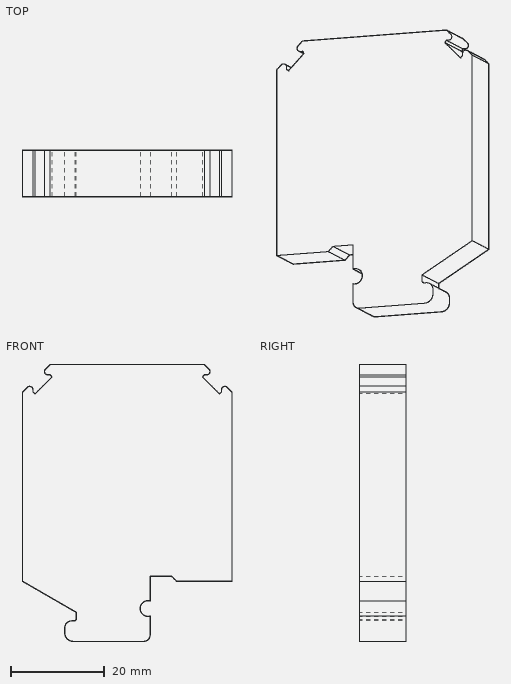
import cadquery as cq
import math

width = 44.7
thickness = 10.0
height = 59.1
half_width = width / 2

corner_chamfer = 5.9
hook_depth = 2.25
hook_radius = 0.7
notch_floor_offset = 9.0
notch_end_depth = 2.7
hook_root = 5.9

body_bottom = 12.8
step_top = 13.9
step_end_x = 10.5
left_slope_angle = math.radians(30)

foot_left = -13.35
foot_right = 4.9
foot_top = 4.45
neck_left = -10.9
neck_chamfer = 0.3
foot_upper_radius = 1.55
foot_lower_left_radius = 1.9
foot_lower_right_radius = 1.4

rail_notch_x = 4.45
rail_notch_z = 7.05
rail_notch_radius = 1.65


def extrude_profile(profile):
    """Extrude an XZ profile over the thickness, centred on Y = 0."""
    return profile.extrude(thickness / 2, both=True)


def make_body():
    step_rise = step_top - body_bottom
    slope_drop = (half_width + neck_left) * math.tan(left_slope_angle)
    outline = [
        (-half_width, height),
        (half_width, height),
        (half_width, body_bottom),
        (step_end_x, body_bottom),
        (step_end_x - step_rise, step_top),
        (foot_right, step_top),
        (foot_right, 0),
        (foot_left, 0),
        (foot_left, foot_top),
        (neck_left - neck_chamfer, foot_top),
        (neck_left, foot_top + neck_chamfer),
        (neck_left, body_bottom - slope_drop),
        (-half_width, body_bottom),
    ]
    return extrude_profile(cq.Workplane("XZ").polyline(outline).close())


def round_foot(body):
    rounded_corners = [
        (foot_left, foot_top, foot_upper_radius),
        (foot_left, 0, foot_lower_left_radius),
        (foot_right, 0, foot_lower_right_radius),
    ]
    for x, z, radius in rounded_corners:
        corner = cq.selectors.NearestToPointSelector((x, 0, z))
        body = body.edges("|Y").edges(corner).fillet(radius)
    return body


def make_corner_cut(side):
    """Material outside an upper corner; side is -1 for left and 1 for right."""

    def place(across, down):
        """Point at the given distances from the sharp upper corner."""
        return (side * (half_width - across), height - down)

    diagonal = hook_radius / math.sqrt(2)
    tip_down = hook_depth - hook_radius
    tip_across = corner_chamfer - tip_down + hook_radius * math.sqrt(2)
    mid_angle = math.radians(22.5)
    upper_tip_start = (tip_across - diagonal, tip_down - diagonal)
    upper_tip_middle = (
        tip_across - hook_radius * math.cos(mid_angle),
        tip_down + hook_radius * math.sin(mid_angle),
    )
    upper_tip_end = (tip_across, hook_depth)
    upper_root = (hook_root, hook_depth)
    upper_notch_end = (notch_floor_offset - notch_end_depth, notch_end_depth)

    def mirrored(point):
        """Same point of the lower hook, mirrored over the corner diagonal."""
        return place(point[1], point[0])

    profile = (
        cq.Workplane("XZ")
        .moveTo(*place(0, 0))
        .lineTo(*place(corner_chamfer, 0))
        .lineTo(*place(*upper_tip_start))
        .threePointArc(place(*upper_tip_middle), place(*upper_tip_end))
        .lineTo(*place(*upper_root))
        .lineTo(*place(*upper_notch_end))
        .lineTo(*mirrored(upper_notch_end))
        .lineTo(*mirrored(upper_root))
        .lineTo(*mirrored(upper_tip_end))
        .threePointArc(mirrored(upper_tip_middle), mirrored(upper_tip_start))
        .lineTo(*place(0, corner_chamfer))
        .close()
    )
    return extrude_profile(profile)


def make_rail_notch():
    profile = cq.Workplane("XZ").center(rail_notch_x, rail_notch_z).circle(rail_notch_radius)
    return extrude_profile(profile)


result = round_foot(make_body())
for corner_side in (-1, 1):
    result = result.cut(make_corner_cut(corner_side))
result = result.cut(make_rail_notch())